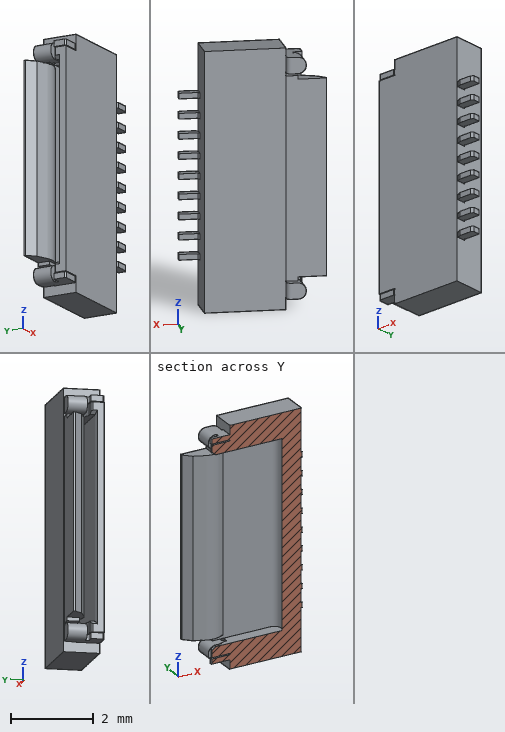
import cadquery as cq

height = 6.5
depth = 0.9
pitch = 0.5
back_y = depth / 2
front_y = -depth / 2

mouth_x = pitch
shoulder_x = 2 * pitch
rear_x = 2.995
pin_tip_x = 3.5
cavity_end_x = 2.5

plate_half = 2.835
plate_y = -0.27
lip_inner_z = 2.63
lip_y = -0.125
lip_chamfer = 0.04

arm_inner_z = 2.6
arm_outer_z = 3.0
arm_radius = (arm_outer_z - arm_inner_z) / 2
slot_top_y = -0.03
slot_end_x = 0.735
slot_fillet = 0.025
gap_width = 0.03
gap_floor_y = 0.14
arm_round = 0.105
foot_chamfer = 0.04
foot_gap = 0.02

cavity_half = 2.55
floor_y = -0.25
guide_end_x = 0.62

actuator_half = 2.46
actuator_y = 0.43
actuator_nose_y = 0.38
actuator_knee = (0.195, 0.18)
actuator_heel = (0.51, 0.05)
belly_low = (0.675, 0.025)
belly_end = (0.845, 0.05)
shaft_y = 0.12
shaft_x = 0.7

pin_count = 9
pin_width = 0.14
pin_top_y = -0.215
pin_flare = 0.045
pin_bend = 0.09
pin_tip_chamfer = 0.065


def box(x0, x1, y0, y1, z0, z1):
    return cq.Workplane("XY").box(x1 - x0, y1 - y0, z1 - z0, centered=False).translate((x0, y0, z0))


def prism(points, z0, z1):
    """Extrude an XY outline between two Z levels."""
    return cq.Workplane("XY").workplane(offset=z0).polyline(points).close().extrude(z1 - z0)


def make_housing():
    block = box(shoulder_x, rear_x, front_y, back_y, -height / 2, height / 2)
    plate = prism(
        [
            (mouth_x, front_y),
            (mouth_x, plate_y),
            (guide_end_x, floor_y),
            (shoulder_x, floor_y),
            (shoulder_x, front_y),
        ],
        -plate_half,
        plate_half,
    )
    cavity_radius = (shaft_y - floor_y) / 2
    cavity = (
        cq.Workplane("XY")
        .workplane(offset=-cavity_half)
        .moveTo(shoulder_x, floor_y)
        .lineTo(cavity_end_x - cavity_radius, floor_y)
        .threePointArc((cavity_end_x, floor_y + cavity_radius), (cavity_end_x - cavity_radius, shaft_y))
        .lineTo(shoulder_x, shaft_y)
        .close()
        .extrude(2 * cavity_half)
    )
    return block.union(plate).cut(cavity)


def make_lip():
    lip = prism(
        [
            (mouth_x, front_y),
            (mouth_x, lip_y - lip_chamfer),
            (mouth_x + lip_chamfer, lip_y),
            (slot_end_x, lip_y),
            (shoulder_x, slot_top_y),
            (shoulder_x, front_y),
        ],
        cavity_half,
        plate_half,
    )
    guide = (
        cq.Workplane("XZ", origin=(0, plate_y, 0))
        .polyline(
            [
                (mouth_x, cavity_half),
                (mouth_x, lip_inner_z),
                (guide_end_x, cavity_half),
            ]
        )
        .close()
        .extrude(plate_y - back_y)
    )
    return lip.cut(guide)


def make_foot():
    slot_corner_x = slot_end_x - slot_fillet
    foot_inner_z = plate_half + foot_gap
    outline = (
        cq.Workplane("XY")
        .workplane(offset=foot_inner_z)
        .moveTo(mouth_x, front_y + foot_chamfer)
        .lineTo(mouth_x, lip_y)
        .lineTo(slot_corner_x, lip_y)
        .radiusArc((slot_end_x, lip_y + slot_fillet), -slot_fillet)
        .lineTo(slot_end_x, slot_top_y)
        .lineTo(shoulder_x, slot_top_y)
        .lineTo(shoulder_x, front_y + foot_chamfer)
        .lineTo(shoulder_x - foot_chamfer, front_y)
        .lineTo(mouth_x + foot_chamfer, front_y)
        .close()
    )
    web = prism(
        [(slot_end_x, lip_y), (shoulder_x, lip_y), (shoulder_x, slot_top_y)],
        plate_half,
        foot_inner_z,
    )
    return outline.extrude(arm_outer_z - foot_inner_z).union(web)


def make_arm():
    arm_rear_x = shoulder_x - gap_width
    round_x = mouth_x + arm_radius
    arm = (
        cq.Workplane("XZ", origin=(0, slot_top_y, 0))
        .moveTo(round_x, arm_inner_z)
        .threePointArc((mouth_x, arm_inner_z + arm_radius), (round_x, arm_outer_z))
        .lineTo(arm_rear_x, arm_outer_z)
        .lineTo(arm_rear_x, arm_inner_z)
        .close()
        .extrude(slot_top_y - back_y)
    )
    arm = arm.edges("|Z").edges(">X and >Y").fillet(arm_round)
    root = box(arm_rear_x, shoulder_x, slot_top_y, gap_floor_y, arm_inner_z, arm_outer_z)
    return arm.union(root)


def make_actuator():
    blade = (
        cq.Workplane("XY")
        .workplane(offset=-actuator_half)
        .moveTo(0, actuator_y)
        .lineTo(0, actuator_nose_y)
        .lineTo(*actuator_knee)
        .lineTo(*actuator_heel)
        .threePointArc(belly_low, belly_end)
        .lineTo(shoulder_x, shaft_y)
        .lineTo(shoulder_x, actuator_y)
        .close()
        .extrude(2 * actuator_half)
    )
    shaft = box(shaft_x, shoulder_x, shaft_y, actuator_y, -cavity_half, cavity_half)
    return blade.union(shaft)


def make_pin(z):
    outline = [
        (rear_x, front_y + pin_flare),
        (rear_x, pin_top_y + pin_flare),
        (rear_x + pin_flare, pin_top_y),
        (pin_tip_x, pin_top_y),
        (pin_tip_x, front_y + pin_flare),
        (pin_tip_x - pin_tip_chamfer, front_y),
        (rear_x + pin_bend, front_y),
    ]
    return prism(outline, z - pin_width / 2, z + pin_width / 2)


end_parts = make_lip().union(make_foot()).union(make_arm())
result = make_housing().union(end_parts).union(end_parts.mirror("XY")).union(make_actuator())
for index in range(pin_count):
    result = result.union(make_pin((index - (pin_count - 1) / 2) * pitch))